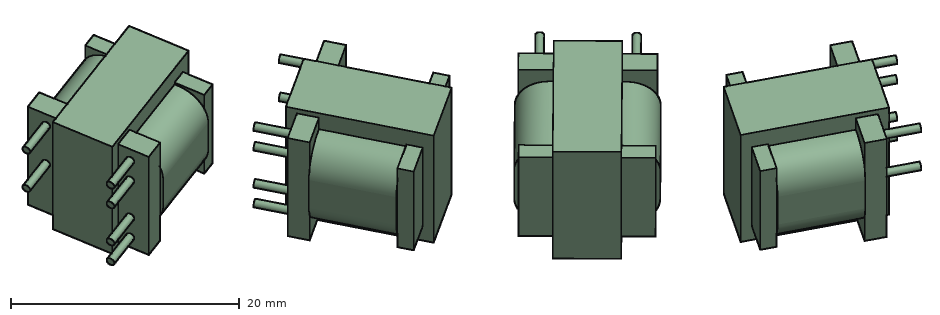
import cadquery as cq

core_width = 6.01
core_depth = 13.4
core_height = 13.6

pin_diameter = 0.8
pin_length = 3.5
pin_side_offset = 4.25
outer_pin_height = 4.85
inner_pin_height = 2.35
pin_flange_width = 12.2
pin_flange_height = 12.45
pin_flange_thickness = 2.0

rear_flange_width = 12.0
rear_flange_height = 10.0
rear_flange_thickness = 1.48

coil_width = 12.8
coil_height = 9.52
coil_corner_radius = 3.0

overall_depth = 15.9
core_front = overall_depth - core_depth
pin_flange_front = pin_length
coil_front = pin_flange_front + pin_flange_thickness
coil_length = 7.92
coil_back = coil_front + coil_length


def block(width, height, front, depth):
    """Box centred in X and Z that starts at y = front."""
    return cq.Workplane("XY").box(width, depth, height).translate((0, front + depth / 2, 0))


def pin(x, z):
    """Round pin from its tip at y = 0 to the pin-side flange."""
    return cq.Workplane("XZ").center(x, z).circle(pin_diameter / 2).extrude(-pin_flange_front)


core = block(core_width, core_height, core_front, core_depth)
pin_flange = block(pin_flange_width, pin_flange_height, pin_flange_front, pin_flange_thickness)
rear_flange = block(rear_flange_width, rear_flange_height, coil_back, rear_flange_thickness)
coil = block(coil_width, coil_height, coil_front, coil_length).edges("|Y").fillet(coil_corner_radius)

result = core.union(pin_flange).union(rear_flange).union(coil)

for z in (outer_pin_height, 0):
    result = result.union(pin(-pin_side_offset, z))
for z in (outer_pin_height, inner_pin_height, -inner_pin_height, -outer_pin_height):
    result = result.union(pin(pin_side_offset, z))